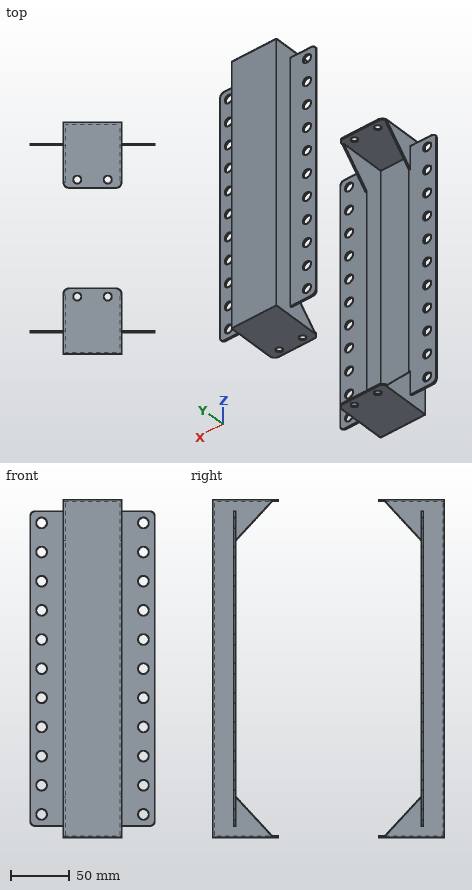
import cadquery as cq

HEIGHT = 290.0
OVERALL_DEPTH = 199.0
SHEET = 1.6

CHANNEL_WIDTH = 50.2
LEG_DEPTH = 20.0

FLANGE_SPAN = 107.0
FLANGE_HEIGHT = 270.3
FLANGE_CORNER_RADIUS = 4.5
FLANGE_HOLE_DIAMETER = 9.0
FLANGE_HOLE_COUNT = 11
FLANGE_HOLE_RUN = 250.0
FLANGE_HOLE_EDGE_DISTANCE = 10.0

PLATE_DEPTH = 56.5
PLATE_CORNER_RADIUS = 5.2
PLATE_HOLE_DIAMETER = 6.7
PLATE_HOLE_SPACING = 26.0
PLATE_HOLE_EDGE_DISTANCE = 7.2
GUSSET_REACH = 51.0
GUSSET_DROP = 35.0

OUTER_FACE = -OVERALL_DEPTH / 2
HALF_HEIGHT = HEIGHT / 2
INNER_WIDTH = CHANNEL_WIDTH - 2 * SHEET
FLANGE_HOLE_PITCH = FLANGE_HOLE_RUN / (FLANGE_HOLE_COUNT - 1)
FLANGE_HOLE_SPACING = FLANGE_SPAN - 2 * FLANGE_HOLE_EDGE_DISTANCE


def make_web():
    """Flat outer wall over the full height."""
    return cq.Workplane("XY").box(CHANNEL_WIDTH, SHEET, HEIGHT).translate((0, OUTER_FACE + SHEET / 2, 0))


def make_side_walls():
    """Two channel legs, each widening into a gusset at both ends."""
    leg_edge = OUTER_FACE + LEG_DEPTH
    gusset_tip = OUTER_FACE + GUSSET_REACH
    gusset_end = HALF_HEIGHT - GUSSET_DROP
    plate_inside = HALF_HEIGHT - SHEET
    outline = [
        (OUTER_FACE, -HALF_HEIGHT),
        (gusset_tip, -HALF_HEIGHT),
        (gusset_tip, -plate_inside),
        (leg_edge, -gusset_end),
        (leg_edge, gusset_end),
        (gusset_tip, plate_inside),
        (gusset_tip, HALF_HEIGHT),
        (OUTER_FACE, HALF_HEIGHT),
    ]
    block = cq.Workplane("YZ").polyline(outline).close().extrude(CHANNEL_WIDTH / 2, both=True)
    hollow = cq.Workplane("XY").box(INNER_WIDTH, 2 * OVERALL_DEPTH, 2 * HEIGHT)
    return block.cut(hollow)


def make_flanges():
    """Perforated strips at both sides, with the channel opening left free between them."""
    strip = (
        cq.Workplane("XZ")
        .rect(FLANGE_SPAN, FLANGE_HEIGHT)
        .extrude(SHEET)
        .edges("|Y")
        .fillet(FLANGE_CORNER_RADIUS)
    )
    holes = (
        cq.Workplane("XZ")
        .rarray(FLANGE_HOLE_SPACING, FLANGE_HOLE_PITCH, 2, FLANGE_HOLE_COUNT)
        .circle(FLANGE_HOLE_DIAMETER / 2)
        .extrude(SHEET)
    )
    opening = cq.Workplane("XZ").rect(INNER_WIDTH, HEIGHT).extrude(SHEET)
    return strip.cut(holes).cut(opening).translate((0, OUTER_FACE + LEG_DEPTH, 0))


def make_end_plate(bottom):
    """Horizontal plate with rounded free corners and two bolt holes."""
    plate = (
        cq.Workplane("XY")
        .rect(CHANNEL_WIDTH, PLATE_DEPTH)
        .extrude(SHEET)
        .edges("|Z and >Y")
        .fillet(PLATE_CORNER_RADIUS)
    )
    holes = (
        cq.Workplane("XY")
        .center(0, PLATE_DEPTH / 2 - PLATE_HOLE_EDGE_DISTANCE)
        .rarray(PLATE_HOLE_SPACING, 3, 2, 1)
        .circle(PLATE_HOLE_DIAMETER / 2)
        .extrude(SHEET)
    )
    return plate.cut(holes).translate((0, OUTER_FACE + PLATE_DEPTH / 2, bottom))


def make_bracket(turn):
    """One complete bracket, turned about the Z axis."""
    bracket = make_web().union(make_side_walls()).union(make_flanges())
    for bottom in (-HALF_HEIGHT, HALF_HEIGHT - SHEET):
        bracket = bracket.union(make_end_plate(bottom))
    return bracket.rotate((0, 0, 0), (0, 0, 1), turn)


brackets = [make_bracket(turn) for turn in (0, 180)]

result = cq.Compound.makeCompound([bracket.val() for bracket in brackets])